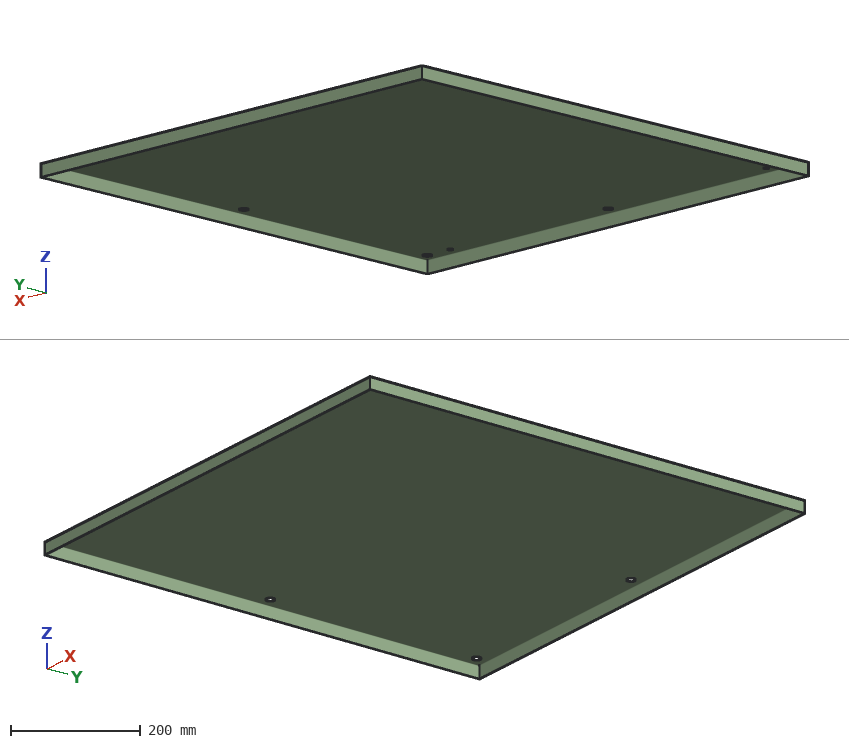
import cadquery as cq

side = 838.0
height = 23.0
sheet = 1.0
bend_radius = 2 * sheet

mount_diameter = 14.0
small_diameter = 8.0
hole_inset = 22.0
small_spacing = 694.0

hole_offset = side / 2 - hole_inset
mount_points = [
    (x, y)
    for x in (-hole_offset, 0, hole_offset)
    for y in (-hole_offset, 0, hole_offset)
    if (x, y) != (0, 0)
]
small_points = [(sign * small_spacing / 2, -hole_offset) for sign in (-1, 1)]


def rounded_block(width, block_height, radius):
    """Square block standing on Z = 0 with its top edges rounded by the bend."""
    block = cq.Workplane("XY").box(width, width, block_height, centered=(True, True, False))
    return block.faces(">Z").edges().fillet(radius)


def drills(points, diameter):
    """Vertical cylinders that pass through the top sheet."""
    return cq.Workplane("XY").pushPoints(points).circle(diameter / 2).extrude(height)


outside = rounded_block(side, height, bend_radius)
inside = rounded_block(side - 2 * sheet, height - sheet, bend_radius - sheet)
pan = outside.cut(inside)

result = pan.cut(drills(mount_points, mount_diameter)).cut(drills(small_points, small_diameter))